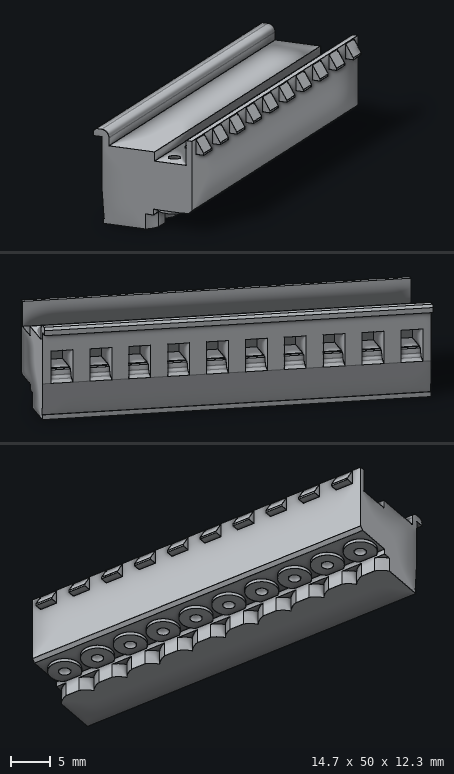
import cadquery as cq
import math

poles = 10
pitch = 5.0
length = poles * pitch
pole_centers = [pitch * (i + 0.5) for i in range(poles)]

wall_x = 1.2
hook_back_x = 2.2
step_x = 8.5
rail_x = 12.85
back_x = 13.65
foot_back_x = 8.35
overall_depth = 14.7

height = 12.35
hook_under_z = 11.35
top_shelf_z = 10.3
screw_shelf_z = 9.1
body_under_z = 2.75
lobe_top_z = 2.0

hook_chamfer = 0.35
hook_radius = hook_back_x - wall_x
back_chamfer = 0.45
draft_top_z = 4.75
draft_end_x = 1.5
lip_x = 1.4
lip_z = 0.65

screw_x = 10.1
screw_diameter = 1.55
boss_radius = 2.15
boss_drop = 0.45

lobe_valley_x = 7.25
lobe_radius = 3.1
lobe_axis_x = lobe_valley_x - math.sqrt(lobe_radius**2 - (pitch / 2) ** 2)
lobe_flat = 2 * math.sqrt(lobe_radius**2 - (foot_back_x - lobe_axis_x) ** 2)

tab_width = 2.45
tab_top_z = 12.25
tab_lip = 0.25

entry_width = 2.8
entry_top_z = 8.95
entry_end_x = lobe_valley_x
floor_x = 2.05
floor_z = 5.05
curve_x = 2.4
curve_z = 5.5
curve_radius = 0.75
ramp_x = 2.6
ramp_z = 6.1
ledge_x = 3.25
ledge_z = 6.2


def extrude_along_y(profile, start, span):
    """Extrude a closed XZ outline from y = start to y = start + span."""
    return profile.extrude(-span).translate((0, start, 0))


def make_body():
    profile = (
        cq.Workplane("XZ")
        .moveTo(0, hook_under_z)
        .lineTo(0, height - hook_chamfer)
        .lineTo(hook_chamfer, height)
        .lineTo(wall_x, height)
        .radiusArc((hook_back_x, height - hook_radius), hook_radius)
        .lineTo(hook_back_x, top_shelf_z)
        .lineTo(step_x, top_shelf_z)
        .lineTo(step_x, screw_shelf_z)
        .lineTo(rail_x, screw_shelf_z)
        .lineTo(rail_x, height)
        .lineTo(back_x, height)
        .lineTo(back_x, body_under_z + back_chamfer)
        .lineTo(back_x - back_chamfer, body_under_z)
        .lineTo(foot_back_x, body_under_z)
        .lineTo(foot_back_x, lobe_top_z)
        .lineTo(lobe_valley_x, lobe_top_z)
        .lineTo(lobe_valley_x, 0)
        .lineTo(lip_x, 0)
        .lineTo(lip_x, lip_z)
        .lineTo(draft_end_x, lip_z)
        .lineTo(wall_x, draft_top_z)
        .lineTo(wall_x, hook_under_z)
        .close()
    )
    return extrude_along_y(profile, 0, length)


def make_foot_lobe(y):
    """Convex lobe one pitch wide, cut flat where it meets the foot's rear face."""
    return (
        cq.Workplane("XY")
        .moveTo(lobe_valley_x, y - pitch / 2)
        .radiusArc((foot_back_x, y - lobe_flat / 2), -lobe_radius)
        .lineTo(foot_back_x, y + lobe_flat / 2)
        .radiusArc((lobe_valley_x, y + pitch / 2), -lobe_radius)
        .close()
        .extrude(lobe_top_z)
    )


def make_boss(y):
    return (
        cq.Workplane("XY", origin=(screw_x, y, body_under_z - boss_drop))
        .circle(boss_radius)
        .extrude(boss_drop)
    )


def make_snap_tab(y):
    profile = (
        cq.Workplane("XZ")
        .moveTo(back_x, top_shelf_z)
        .lineTo(overall_depth, top_shelf_z)
        .lineTo(overall_depth, top_shelf_z + tab_lip)
        .lineTo(back_x, tab_top_z)
        .close()
    )
    return extrude_along_y(profile, y - tab_width / 2, tab_width)


def make_screw_hole(y):
    return cq.Workplane("XY", origin=(screw_x, y, 0)).circle(screw_diameter / 2).extrude(height)


def make_wire_entry(y):
    """Rectangular mouth with a sloped sill, a rounded rise, a steep ramp and a stepped floor."""
    profile = (
        cq.Workplane("XZ")
        .moveTo(wall_x, draft_top_z)
        .lineTo(floor_x, floor_z)
        .radiusArc((curve_x, curve_z), -curve_radius)
        .lineTo(ramp_x, ramp_z)
        .lineTo(ledge_x, ramp_z)
        .lineTo(ledge_x, ledge_z)
        .lineTo(entry_end_x, ledge_z)
        .lineTo(entry_end_x, entry_top_z)
        .lineTo(wall_x, entry_top_z)
        .close()
    )
    return extrude_along_y(profile, y - entry_width / 2, entry_width)


result = make_body()
for y in pole_centers:
    result = result.union(make_foot_lobe(y)).union(make_boss(y)).union(make_snap_tab(y))
for y in pole_centers:
    result = result.cut(make_screw_hole(y)).cut(make_wire_entry(y))